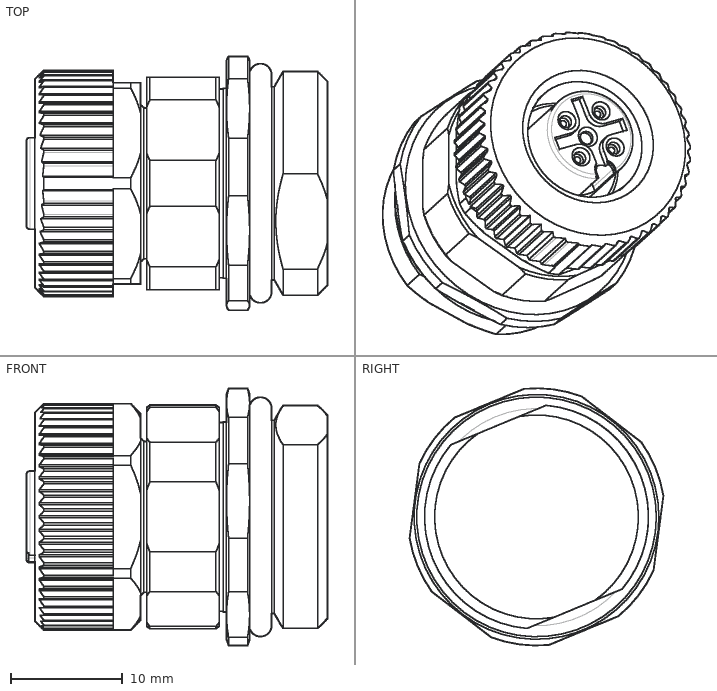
import cadquery as cq
import math


NUT_FRONT = 0.76
NUT_RADIUS = 10.12
NUT_CHAMFER = 0.8
NUT_REAR_CHAMFER = 0.88
KNURL_END = 7.74
NUT_END = 10.2
NUT_ACROSS_FLATS = 18.0
BORE_RADIUS = 10.92 / 2
BORE_MOUTH_RADIUS = 12.5 / 2
BORE_FLOOR = 7.5

GROOVE_PITCH = 7.0
GROOVES_PER_QUADRANT = 12
GROOVE_FLOOR_RADIUS = 9.73
GROOVE_FLOOR_WIDTH = 0.19
RIDGE_WIDTH = 0.22

INSERT_RADIUS = 8.2 / 2
INSERT_FILLET = 0.3
KEYING_ANGLE = 22.5
CONTACT_CIRCLE_RADIUS = 2.5
CONTACT_HOLE_DIAMETER = 1.1
CONTACT_MOUTH_DIAMETER = 1.7
CONTACT_DEPTH = 0.9
SOCKET_DIAMETER = 0.6
SOCKET_DEPTH = 2.0
CENTRE_HOLE_DIAMETER = 1.2
CENTRE_MOUTH_DIAMETER = 1.8
CENTRE_HOLE_DEPTH = 0.7
BOSS_RADIUS = 2.4 / 2
RECESS_REACH = 3.5
RECESS_DEPTH = 0.8
KEY_HALF_WIDTH = 0.8
KEY_INNER_REACH = 2.8
KEY_DEPTH = 5.0
KEY_BEVEL = 0.2

SEAL_WIRE_RADIUS = 0.52
SEAL_X = BORE_FLOOR - SEAL_WIRE_RADIUS / 2

NECK_RADIUS = 13.5 / 2
NECK_COLLAR_RADIUS = 7.05

BODY_START = 10.73
BODY_END = 17.23
BODY_RADIUS = 10.0
BODY_ACROSS_FLATS = 19.0
BODY_CHAMFER_LENGTH = 0.3
BODY_CHAMFER_DEPTH = 0.22

RELIEF_RADIUS = 16.9 / 2
SHOULDER_RADIUS = 8.5
STUB_RADIUS = 17.3 / 2
RELIEF_EDGE = 17.6

LOCKNUT_START = 17.85
LOCKNUT_END = 19.96
LOCKNUT_RADIUS = 11.5
LOCKNUT_ACROSS_FLATS = 22.0
LOCKNUT_CHAMFER_LENGTH = 0.21
LOCKNUT_CHAMFER_DEPTH = 0.57

RING_WIRE_RADIUS = 1.0
RING_OUTER_RADIUS = 10.7
RING_SQUEEZE = 0.05
RING_X = LOCKNUT_END + RING_WIRE_RADIUS - RING_SQUEEZE

HEAD_START = 22.14
HEAD_CONE_END = 22.92
HEAD_END = 26.9
HEAD_RADIUS = 10.0
HEAD_CHAMFER = 0.9
HEAD_FLAT_DISTANCE = 8.88

CUT_MARGIN = 1.0


def turned(profile):
    """Revolve a list of (x, radius) points, closed onto the X axis."""
    first_x = profile[0][0]
    last_x = profile[-1][0]
    outline = [(first_x, 0)] + profile + [(last_x, 0)]
    return cq.Workplane("XY").polyline(outline).close().revolve(360, (0, 0), (1, 0))


def chamfered_disc(start, end, radius, length, depth):
    """Turned disc with the same chamfer on both rims."""
    return turned([
        (start, radius - depth),
        (start + length, radius),
        (end - length, radius),
        (end, radius - depth),
    ])


def plane_at(x):
    """Sketch plane across the axis: local x is Y, local y is Z."""
    return cq.Workplane("YZ", origin=(x, 0, 0))


def hexagon(start, end, across_flats, turn):
    """Hexagonal prism along X; at turn 0 two flats face +Y and -Y."""
    corner_diameter = across_flats / math.cos(math.radians(30))
    prism = plane_at(start).polygon(6, corner_diameter).extrude(end - start)
    return prism.rotate((0, 0, 0), (1, 0, 0), 30 + turn)


def ring(x, centre_radius, wire_radius):
    """Torus around the X axis."""
    section = cq.Workplane("XY").center(x, centre_radius).circle(wire_radius)
    return section.revolve(360, (-x, -centre_radius), (1 - x, -centre_radius))


def polar(radius, angle):
    """Point in the YZ plane, angle in radians from +Y."""
    return (radius * math.cos(angle), radius * math.sin(angle))


def point_at_height(start, end, height):
    """Point on the line from start to end at the given Z."""
    share = (height - start[1]) / (end[1] - start[1])
    return (start[0] + share * (end[0] - start[0]), height)


def groove_outline(angle_degrees):
    """Trapezoidal groove; its lower wall never rises outward along Y."""
    angle = math.radians(angle_degrees)
    rim_half = math.radians(GROOVE_PITCH) / 2 - RIDGE_WIDTH / 2 / NUT_RADIUS
    floor_half = GROOVE_FLOOR_WIDTH / 2 / GROOVE_FLOOR_RADIUS
    upper_rim = polar(NUT_RADIUS, angle + rim_half)
    lower_rim = polar(NUT_RADIUS, angle - rim_half)
    upper_floor = polar(GROOVE_FLOOR_RADIUS, angle + floor_half)
    lower_floor = polar(GROOVE_FLOOR_RADIUS, angle - floor_half)
    outside = polar(NUT_RADIUS + CUT_MARGIN, angle)
    level = lower_rim[1]
    if lower_floor[1] >= level:
        bottom = [lower_floor, upper_floor]
    elif upper_floor[1] > level:
        bottom = [point_at_height(lower_floor, upper_floor, level), upper_floor]
    else:
        bottom = [point_at_height(upper_floor, upper_rim, level)]
    return [outside, lower_rim] + bottom + [upper_rim]


def knurl_grooves():
    """All groove cutters, mirrored into the four quadrants."""
    cutters = []
    for index in range(GROOVES_PER_QUADRANT + 1):
        outline = groove_outline(index * GROOVE_PITCH)
        z_signs = (1, -1) if index else (1,)
        for y_sign in (1, -1):
            for z_sign in z_signs:
                points = [(y_sign * y, z_sign * z) for y, z in outline]
                cutter = plane_at(0).polyline(points).close().extrude(KNURL_END)
                cutters.append(cutter.val())
    return cq.Workplane("XY").newObject([cq.Compound.makeCompound(cutters)])


def coupling_nut():
    """Knurled front, hexagonal rear, plain bore with a conical mouth."""
    nut = turned([
        (NUT_FRONT, NUT_RADIUS - NUT_CHAMFER),
        (NUT_FRONT + NUT_CHAMFER, NUT_RADIUS),
        (NUT_END - NUT_REAR_CHAMFER, NUT_RADIUS),
        (NUT_END, NUT_RADIUS - NUT_REAR_CHAMFER),
    ])
    rear_blank = plane_at(KNURL_END).circle(NUT_RADIUS + CUT_MARGIN).extrude(NUT_END - KNURL_END)
    rear_hexagon = hexagon(KNURL_END, NUT_END, NUT_ACROSS_FLATS, 0)
    nut = nut.cut(rear_blank.cut(rear_hexagon)).cut(knurl_grooves())
    bore = turned([
        (NUT_FRONT, BORE_MOUTH_RADIUS),
        (NUT_FRONT + BORE_MOUTH_RADIUS - BORE_RADIUS, BORE_RADIUS),
        (BORE_FLOOR, BORE_RADIUS),
    ])
    return nut.cut(bore)


def blind_hole(diameter, mouth_diameter, depth):
    """Axial hole cutter from x = 0 with a 45 degree countersink."""
    countersink = (mouth_diameter - diameter) / 2
    return turned([(0, mouth_diameter / 2), (countersink, diameter / 2), (depth, diameter / 2)])


def contact_socket():
    """Countersunk contact hole ending in a narrower cone-tipped socket."""
    mouth = blind_hole(CONTACT_HOLE_DIAMETER, CONTACT_MOUTH_DIAMETER, CONTACT_DEPTH)
    socket_radius = SOCKET_DIAMETER / 2
    cylinder_end = CONTACT_DEPTH + SOCKET_DEPTH
    socket = cq.Workplane("XY").polyline([
        (CONTACT_DEPTH, 0),
        (CONTACT_DEPTH, socket_radius),
        (cylinder_end, socket_radius),
        (cylinder_end + socket_radius, 0),
    ]).close().revolve(360, (0, 0), (1, 0))
    return mouth.union(socket)


def face_recess():
    """Cross-shaped recess whose inner corners follow the contact bosses."""
    boss_centre = CONTACT_CIRCLE_RADIUS * math.cos(math.radians(45))
    arm_width = 2 * (boss_centre - BOSS_RADIUS)
    arm_length = 2 * RECESS_REACH
    cross = plane_at(0).rect(arm_width, arm_length).extrude(RECESS_DEPTH)
    cross = cross.union(plane_at(0).rect(arm_length, arm_width).extrude(RECESS_DEPTH))
    hub = plane_at(0).rect(2 * boss_centre, 2 * boss_centre).extrude(RECESS_DEPTH)
    bosses = (
        plane_at(0)
        .rect(2 * boss_centre, 2 * boss_centre, forConstruction=True)
        .vertices()
        .circle(BOSS_RADIUS)
        .extrude(RECESS_DEPTH)
    )
    return cross.union(hub.cut(bosses))


def key_slot(half_width, depth):
    """Round-ended keyway cutter through the -Z side of the insert."""
    arc_centre = -(KEY_INNER_REACH + KEY_HALF_WIDTH)
    outside = -(INSERT_RADIUS + CUT_MARGIN)
    return (
        plane_at(0)
        .moveTo(-half_width, outside)
        .lineTo(-half_width, arc_centre)
        .threePointArc((0, arc_centre + half_width), (half_width, arc_centre))
        .lineTo(half_width, outside)
        .close()
        .extrude(depth)
    )


def contact_insert():
    """Round insert with contact holes, cross recess and keyway."""
    insert = plane_at(0).circle(INSERT_RADIUS).extrude(BORE_FLOOR + CUT_MARGIN)
    insert = insert.faces("<X").edges().fillet(INSERT_FILLET)
    insert = insert.cut(face_recess())
    insert = insert.cut(key_slot(KEY_HALF_WIDTH, KEY_DEPTH))
    insert = insert.cut(key_slot(KEY_HALF_WIDTH + KEY_BEVEL, KEY_BEVEL))
    centre_hole = blind_hole(CENTRE_HOLE_DIAMETER, CENTRE_MOUTH_DIAMETER, CENTRE_HOLE_DEPTH)
    insert = insert.cut(centre_hole.translate((RECESS_DEPTH, 0, 0)))
    for index in range(4):
        angle = math.radians(45 + 90 * index)
        y, z = polar(CONTACT_CIRCLE_RADIUS, angle)
        insert = insert.cut(contact_socket().translate((0, y, z)))
    return insert.rotate((0, 0, 0), (1, 0, 0), -KEYING_ANGLE)


def neck():
    """Core joining the coupling nut to the body hexagon."""
    collar_chamfer = NECK_COLLAR_RADIUS - NECK_RADIUS
    return turned([
        (BORE_FLOOR, NECK_COLLAR_RADIUS),
        (NUT_END, NECK_COLLAR_RADIUS),
        (NUT_END + collar_chamfer, NECK_RADIUS),
        (BODY_END, NECK_RADIUS),
    ])


def body_hexagon():
    disc = chamfered_disc(BODY_START, BODY_END, BODY_RADIUS, BODY_CHAMFER_LENGTH, BODY_CHAMFER_DEPTH)
    return disc.intersect(hexagon(BODY_START, BODY_END, BODY_ACROSS_FLATS, 0))


def stub():
    """Cylinder carrying the locknut and the outer O-ring."""
    return turned([
        (BODY_END - CUT_MARGIN, RELIEF_RADIUS),
        (RELIEF_EDGE, RELIEF_RADIUS),
        (RELIEF_EDGE, SHOULDER_RADIUS),
        (LOCKNUT_START, SHOULDER_RADIUS),
        (LOCKNUT_START, STUB_RADIUS),
        (HEAD_START, STUB_RADIUS),
    ])


def locknut():
    disc = chamfered_disc(
        LOCKNUT_START, LOCKNUT_END, LOCKNUT_RADIUS, LOCKNUT_CHAMFER_LENGTH, LOCKNUT_CHAMFER_DEPTH
    )
    return disc.intersect(hexagon(LOCKNUT_START, LOCKNUT_END, LOCKNUT_ACROSS_FLATS, 90 + KEYING_ANGLE))


def rear_head():
    """Round head with a conical front and two opposite wrench flats."""
    head = turned([
        (HEAD_START, STUB_RADIUS),
        (HEAD_CONE_END, HEAD_RADIUS),
        (HEAD_END - HEAD_CHAMFER, HEAD_RADIUS),
        (HEAD_END, HEAD_RADIUS - HEAD_CHAMFER),
    ])
    slab = plane_at(HEAD_START).rect(4 * HEAD_RADIUS, 2 * HEAD_FLAT_DISTANCE).extrude(HEAD_END - HEAD_START)
    return head.intersect(slab.rotate((0, 0, 0), (1, 0, 0), KEYING_ANGLE))


seal_ring = ring(SEAL_X, INSERT_RADIUS + SEAL_WIRE_RADIUS, SEAL_WIRE_RADIUS)
outer_ring = ring(RING_X, RING_OUTER_RADIUS - RING_WIRE_RADIUS, RING_WIRE_RADIUS)

result = coupling_nut()
for piece in (
    contact_insert(),
    seal_ring,
    neck(),
    body_hexagon(),
    stub(),
    locknut(),
    outer_ring,
    rear_head(),
):
    result = result.union(piece)